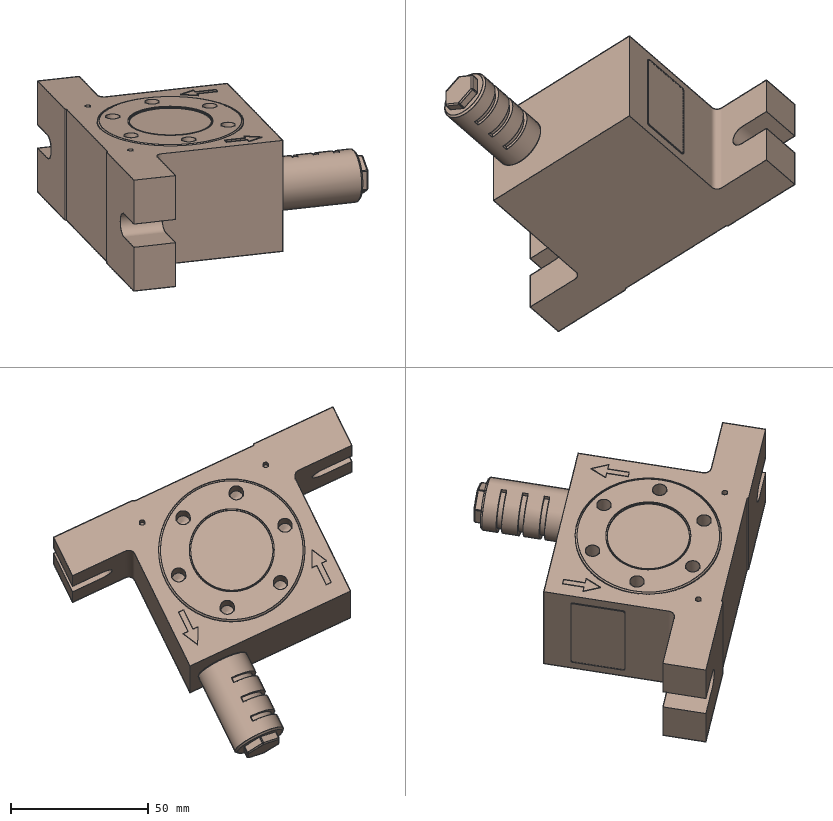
import cadquery as cq
import math

flange_length = 113.0
flange_depth = 16.0
block_width = 65.0
block_top_y = 65.0
thickness = 43.0
corner_radius = 2.5
mid_z = thickness / 2

relief_half_width = 24.0
relief_depth = 0.5

slot_width = 9.0
slot_length = 16.0

marker_hole_diameter = 2.0
marker_hole_depth = 4.0
marker_hole_x = 25.0
marker_hole_y = 9.0
drill_tip_angle = 118.0

arrow_x = 26.5
arrow_tail_low_y = 45.0
arrow_length = 14.0
arrow_head_length = 6.0
arrow_head_width = 6.0
arrow_shaft_width = 2.0
arrow_depth = 0.2

cover_y = block_top_y / 2
cover_diameter = 53.4
cover_chamfer = 0.7
cover_rise = 0.25
cover_seat_depth = 12.0
cover_hole_count = 6
cover_hole_diameter = 5.2
cover_hole_circle = 43.0
cover_hole_depth = 8.0
dish_diameter = 31.0
dish_depth = 0.6
dish_ledge_width = 0.5
dish_ledge_depth = 0.3

plate_length = 35.0
plate_width = 20.0
plate_rise = 0.4
plate_corner_radius = 0.8
plate_center_y = 44.8

silencer_x = 19.5
silencer_diameter = 19.6
silencer_length = 32.0
silencer_tip_chamfer = 0.7
silencer_base_chamfer = 0.3
groove_width = 2.0
groove_depth = 1.5
groove_pitch = 8.0
first_groove_offset = 9.0
groove_count = 3
nut_height = 3.0
nut_across_flats = 13.0
nut_round_diameter = 14.75
nut_chamfer = 0.5


def drilled_holes(points, diameter, depth, top_z):
    """Blind holes going down from top_z, each ending in a drill-tip cone."""
    radius = diameter / 2
    tip_length = radius / math.tan(math.radians(drill_tip_angle / 2))
    profile = (
        cq.Workplane("XZ")
        .moveTo(0, 0)
        .lineTo(radius, 0)
        .lineTo(radius, -depth)
        .lineTo(0, -depth - tip_length)
        .close()
    )
    cutter = profile.revolve(360, (0, 0, 0), (0, 1, 0)).val()
    return cq.Workplane("XY").newObject(
        [cutter.translate(cq.Vector(x, y, top_z)) for x, y in points]
    ).combine()


def cover_seat():
    """Straight round recess that the cover sits in."""
    return (
        cq.Workplane("XY", origin=(0, cover_y, thickness))
        .circle(cover_diameter / 2)
        .extrude(-cover_seat_depth)
    )


def arrow_cutter(center_x, direction):
    """Arrow pointing along +Y (direction 1) or -Y (direction -1)."""
    tail_y = -direction * arrow_length / 2
    tip_y = -tail_y
    neck_y = tip_y - direction * arrow_head_length
    half_shaft = arrow_shaft_width / 2
    half_head = arrow_head_width / 2
    center_y = arrow_tail_low_y + arrow_length / 2
    return (
        cq.Workplane("XY", origin=(center_x, center_y, thickness - arrow_depth))
        .polyline([
            (-half_shaft, tail_y),
            (-half_shaft, neck_y),
            (-half_head, neck_y),
            (0, tip_y),
            (half_head, neck_y),
            (half_shaft, neck_y),
            (half_shaft, tail_y),
        ])
        .close()
        .extrude(arrow_depth)
    )


def mounting_slot(side):
    """Round-ended slot, centred on one flange end (side -1 or 1) so that it opens there."""
    return (
        cq.Workplane("XZ", origin=(side * flange_length / 2, 0, mid_z))
        .slot2D(2 * slot_length, slot_width)
        .extrude(-flange_depth)
    )


def make_housing():
    flange = cq.Workplane("XY").box(
        flange_length, flange_depth, thickness, centered=(True, False, False)
    )
    block = cq.Workplane("XY").box(
        block_width, block_top_y, thickness, centered=(True, False, False)
    )
    body = flange.union(block)
    for side in (-1, 1):
        inner_corner = (side * block_width / 2, flange_depth, mid_z)
        body = body.edges(cq.selectors.NearestToPointSelector(inner_corner)).fillet(corner_radius)

    relief = (
        cq.Workplane("XY")
        .polyline([
            (-relief_half_width - relief_depth, 0),
            (-relief_half_width, relief_depth),
            (relief_half_width, relief_depth),
            (relief_half_width + relief_depth, 0),
        ])
        .close()
        .extrude(thickness)
    )
    body = body.cut(relief)

    for side in (-1, 1):
        body = body.cut(mounting_slot(side))
        body = body.cut(arrow_cutter(side * arrow_x, side))

    marker_points = [(side * marker_hole_x, marker_hole_y) for side in (-1, 1)]
    body = body.cut(
        drilled_holes(marker_points, marker_hole_diameter, marker_hole_depth, thickness)
    )
    return body.cut(cover_seat())


def cover_dish(top_z):
    """Shallow round recess with a narrow ledge around its mouth."""
    mouth_radius = dish_diameter / 2
    center = cq.Workplane("XY", origin=(0, cover_y, top_z))
    ledge = center.circle(mouth_radius).extrude(-dish_ledge_depth)
    floor = center.circle(mouth_radius - dish_ledge_width).extrude(-dish_depth)
    return ledge.union(floor)


def make_cover():
    top_z = thickness + cover_rise
    radius = cover_hole_circle / 2
    step = 2 * math.pi / cover_hole_count
    hole_points = [
        (radius * math.cos(i * step), cover_y + radius * math.sin(i * step))
        for i in range(cover_hole_count)
    ]
    disc = (
        cq.Workplane("XY", origin=(0, cover_y, thickness - cover_seat_depth))
        .circle(cover_diameter / 2)
        .extrude(cover_seat_depth + cover_rise)
        .faces(">Z")
        .chamfer(cover_chamfer)
    )
    holes = drilled_holes(hole_points, cover_hole_diameter, cover_hole_depth, top_z)
    return disc.cut(cover_dish(top_z)).cut(holes)


def make_name_plate():
    return (
        cq.Workplane("YZ", origin=(-block_width / 2, plate_center_y, mid_z))
        .rect(plate_width, plate_length)
        .extrude(-plate_rise)
        .edges("|X")
        .fillet(plate_corner_radius)
    )


def make_silencer():
    """Cylinder along Y with grooves around its -X half only."""
    radius = silencer_diameter / 2
    axis_base = cq.Workplane("XZ", origin=(silencer_x, block_top_y, mid_z))
    body = (
        axis_base.circle(radius)
        .extrude(-silencer_length)
        .faces(">Y")
        .chamfer(silencer_tip_chamfer)
        .faces("<Y")
        .chamfer(silencer_base_chamfer)
    )
    for i in range(groove_count):
        center_y = block_top_y + first_groove_offset + i * groove_pitch
        ring = (
            cq.Workplane("XZ", origin=(silencer_x, center_y - groove_width / 2, mid_z))
            .circle(silencer_diameter)
            .circle(radius - groove_depth)
            .extrude(-groove_width)
        )
        minus_x_half = cq.Workplane(
            "XY", origin=(silencer_x - silencer_diameter, center_y, mid_z)
        ).box(2 * silencer_diameter, groove_width, 2 * silencer_diameter)
        body = body.cut(ring.intersect(minus_x_half))
    return body


def make_end_nut():
    """Hexagon with two corners along Z and rounded corners, chamfered on its outer face."""
    corner_diameter = nut_across_flats / math.cos(math.pi / 6)
    base = cq.Workplane("XZ", origin=(silencer_x, block_top_y + silencer_length, mid_z))
    hexagon = (
        base.transformed(rotate=(0, 0, 90))
        .polygon(6, corner_diameter)
        .extrude(-nut_height)
    )
    rounding = base.circle(nut_round_diameter / 2).extrude(-nut_height)
    return hexagon.intersect(rounding).faces(">Y").chamfer(nut_chamfer)


housing = make_housing()
cover = make_cover()
name_plate = make_name_plate()
silencer = make_silencer()
end_nut = make_end_nut()

result = cq.Compound.makeCompound([
    housing.val(),
    cover.val(),
    name_plate.val(),
    silencer.val(),
    end_nut.val(),
])